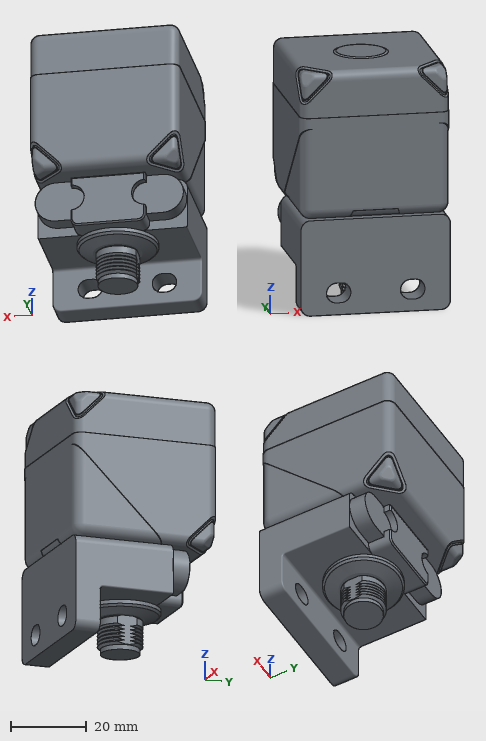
import cadquery as cq
import math

OVERALL_HEIGHT = 66.35
WIDTH = 40.15
HALF = WIDTH / 2

HOUSING_BOTTOM = 26.0
PARTING_HEIGHT = 53.9
DISC_HEIGHT = 0.25
HOUSING_TOP = OVERALL_HEIGHT - DISC_HEIGHT
EDGE_RADIUS = 2.5
CAP_STEP = 0.1
WEDGE_INSET = 0.165
WEDGE_EDGE_RADIUS = 2.8
DIAGONAL_FRONT_HEIGHT = 50.95
DISC_RADIUS = 7.25
DISC_FACE_RADIUS = 6.6

WINDOW_REACH = 10.1
WINDOW_BORDER = 0.7
FACET_REACH = 5.45
FACET_EDGE_RADIUS = 1.0
WINDOW_INSET = 0.4
BORDER_INSET = 0.5
WINDOW_EDGE_RADIUS = 1.65

NOTCH_WIDTH = 13.55
NOTCH_HEIGHT = 2.1
NOTCH_SIDE_SLOPE = 0.7
NOTCH_DEPTH = 0.1

PLATE_THICKNESS = 7.05
PLATE_CORNER_RADIUS = 2.5
ARM_BOTTOM = 12.1
ARM_LENGTH = 27.5
INNER_CORNER_RADIUS = 0.8
REAR_EDGE_RADIUS = 0.4
SLOT_SPACING = 19.9
SLOT_HEIGHT_ABOVE_BASE = 6.0
SLOT_LENGTH = 6.5
SLOT_DIAMETER = 5.4

CLAMP_REAR = 14.15
CLAMP_WIDTH = 19.9
CLAMP_EDGE_RADIUS = 1.85
CLAMP_REAR_CHAMFER = 0.4
SCOOP_RADIUS = 3.6
BAR_REAR = 12.15
BAR_WIDTH = 39.8
BAR_DIAMETER = 11.0
BAR_HEIGHT_ABOVE_BASE = 20.2

FLANGE_RADIUS = 10.8
FLANGE_RIM_BOTTOM = 11.0
FLANGE_BEVEL_RADIUS = 10.3
FLANGE_BEVEL_BOTTOM = 10.35
FLANGE_CONE_RADIUS = 6.6
NECK_RADIUS = 6.05
NECK_TOP = 9.3
NECK_CHAMFER = 0.4
THREAD_TOP = 7.0
THREAD_BOTTOM = 1.3
THREAD_PITCH = 1.0
THREAD_ROOT_RADIUS = 5.45
TIP_RADIUS = 5.25
KEY_FLAT_DISTANCE = 5.4


def rounded_box(half_x, half_y, bottom, top, radius):
    """Box centred on the Z axis with every edge rounded."""
    box = cq.Workplane("XY").box(2 * half_x, 2 * half_y, top - bottom, centered=(True, True, False))
    return box.edges().fillet(radius).translate((0, 0, bottom))


def corner_wedge(corner, signs, reach):
    """Tetrahedron at a box corner; signs point from the part's middle to the corner."""
    x, y, z = corner
    sx, sy, sz = signs
    margin = 0.65
    apex = cq.Vector(x + sx * margin, y + sy * margin, z + sz * margin)
    leg = reach + 3 * margin
    ends = [
        apex + cq.Vector(-sx * leg, 0, 0),
        apex + cq.Vector(0, -sy * leg, 0),
        apex + cq.Vector(0, 0, -sz * leg),
    ]
    points = [apex] + ends
    faces = []
    for skipped in range(len(points)):
        triangle = [p for index, p in enumerate(points) if index != skipped]
        faces.append(cq.Face.makeFromWires(cq.Wire.makePolygon(triangle, close=True)))
    solid = cq.Solid.makeSolid(cq.Shell.makeShell(faces))
    return cq.Workplane("XY").newObject([solid.fix()])


def make_cube():
    """Cap and lower housing, stacked at the parting joint."""
    lower = rounded_box(HALF, HALF, HOUSING_BOTTOM, HOUSING_TOP, EDGE_RADIUS)
    cap = rounded_box(HALF - CAP_STEP, HALF - CAP_STEP, HOUSING_BOTTOM, HOUSING_TOP, EDGE_RADIUS)
    above_joint = (
        cq.Workplane("XY")
        .workplane(offset=PARTING_HEIGHT)
        .rect(WIDTH, WIDTH)
        .extrude(HOUSING_TOP - PARTING_HEIGHT)
    )
    return lower.cut(above_joint).union(cap.intersect(above_joint))


def set_back_wedge(cube):
    """Narrow the cube below the 45 degree diagonal that rises toward the front."""
    rise = DIAGONAL_FRONT_HEIGHT - HOUSING_BOTTOM
    below_diagonal = (
        cq.Workplane("YZ")
        .polyline([(-HALF, HOUSING_BOTTOM), (rise - HALF, HOUSING_BOTTOM), (-HALF, DIAGONAL_FRONT_HEIGHT)])
        .close()
        .extrude(HALF, both=True)
    )
    narrow = rounded_box(HALF - WEDGE_INSET, HALF, HOUSING_BOTTOM, HOUSING_TOP, WEDGE_EDGE_RADIUS)
    return cube.cut(below_diagonal).union(narrow.intersect(below_diagonal))


def inset_core(inset, radius):
    """Rounded box lying an even distance inside the cap and the housing ends."""
    half_side = HALF - CAP_STEP - inset
    return rounded_box(half_side, half_side, HOUSING_BOTTOM + inset, HOUSING_TOP - inset, radius)


def recess_windows(cube):
    """Faceted, grooved windows in the two top front and two bottom rear corners."""
    border_core = inset_core(BORDER_INSET, WINDOW_EDGE_RADIUS)
    window_core = inset_core(WINDOW_INSET, WINDOW_EDGE_RADIUS)
    for side in (-1, 1):
        for sy, sz, z in ((-1, 1, HOUSING_TOP), (1, -1, HOUSING_BOTTOM)):
            corner = (side * HALF, sy * HALF, z)
            signs = (side, sy, sz)
            recess = corner_wedge(corner, signs, WINDOW_REACH)
            window = corner_wedge(corner, signs, WINDOW_REACH - WINDOW_BORDER)
            facet = corner_wedge(corner, signs, FACET_REACH)
            border = border_core.intersect(recess).cut(window)
            faceted = window_core.cut(facet)
            facet_face = cq.selectors.NearestToPointSelector(corner)
            faceted = faceted.faces(facet_face).edges().fillet(FACET_EDGE_RADIUS)
            cube = cube.cut(recess).union(border).union(faceted.intersect(window))
    return cube


def recess_front_notch(cube):
    """Shallow trapezoid set into the rounded lower front edge."""
    notch = (
        cq.Workplane("XZ", origin=(0, -HALF + EDGE_RADIUS, HOUSING_BOTTOM))
        .polyline([
            (-NOTCH_WIDTH / 2, 0),
            (NOTCH_WIDTH / 2, 0),
            (NOTCH_WIDTH / 2 - NOTCH_SIDE_SLOPE, NOTCH_HEIGHT),
            (-NOTCH_WIDTH / 2 + NOTCH_SIDE_SLOPE, NOTCH_HEIGHT),
        ])
        .close()
        .extrude(EDGE_RADIUS)
    )
    core = rounded_box(
        HALF - NOTCH_DEPTH,
        HALF - NOTCH_DEPTH,
        HOUSING_BOTTOM + NOTCH_DEPTH,
        HOUSING_TOP - NOTCH_DEPTH,
        EDGE_RADIUS,
    )
    return cube.cut(notch).union(core.intersect(notch))


def make_disc():
    """Raised sensing disc with a bevelled rim."""
    return (
        cq.Workplane("XZ")
        .polyline([
            (0, PARTING_HEIGHT),
            (DISC_RADIUS, PARTING_HEIGHT),
            (DISC_RADIUS, HOUSING_TOP),
            (DISC_FACE_RADIUS, OVERALL_HEIGHT),
            (0, OVERALL_HEIGHT),
        ])
        .close()
        .revolve(360, (0, 0), (0, 1))
    )


def make_bracket():
    """L-shaped bracket: slotted front plate with an arm under the housing."""
    front = -HALF
    plate_rear = front + PLATE_THICKNESS
    arm_rear = front + ARM_LENGTH
    profile = (
        cq.Workplane("YZ")
        .polyline([
            (front, 0),
            (plate_rear, 0),
            (plate_rear, ARM_BOTTOM),
            (arm_rear, ARM_BOTTOM),
            (arm_rear, HOUSING_BOTTOM),
            (front, HOUSING_BOTTOM),
        ])
        .close()
        .extrude(HALF, both=True)
    )
    inner_corner = cq.selectors.NearestToPointSelector((0, plate_rear, ARM_BOTTOM))
    profile = profile.edges(inner_corner).fillet(INNER_CORNER_RADIUS)
    outline = (
        cq.Workplane("XZ", origin=(0, front, 0))
        .center(0, HOUSING_BOTTOM / 2)
        .rect(WIDTH, HOUSING_BOTTOM)
        .extrude(-ARM_LENGTH)
        .edges("|Y")
        .fillet(PLATE_CORNER_RADIUS)
    )
    slots = (
        cq.Workplane("XZ", origin=(0, front, SLOT_HEIGHT_ABOVE_BASE))
        .pushPoints([(-SLOT_SPACING / 2, 0), (SLOT_SPACING / 2, 0)])
        .slot2D(SLOT_LENGTH, SLOT_DIAMETER)
        .extrude(-PLATE_THICKNESS)
    )
    bracket = profile.intersect(outline)
    rear_edge = cq.selectors.NearestToPointSelector((HALF, plate_rear, ARM_BOTTOM / 2))
    bracket = bracket.edges(rear_edge).fillet(REAR_EDGE_RADIUS)
    return bracket.cut(slots)


def make_rear_clamp():
    """Clamp block behind the arm, with scooped sides and a round-ended crossbar."""
    arm_rear = ARM_LENGTH - HALF
    block_height = HOUSING_BOTTOM - ARM_BOTTOM
    block = (
        cq.Workplane("XZ", origin=(0, arm_rear, ARM_BOTTOM + block_height / 2))
        .rect(CLAMP_WIDTH, block_height)
        .extrude(arm_rear - CLAMP_REAR)
        .edges("|Y and <Z")
        .fillet(CLAMP_EDGE_RADIUS)
        .faces(">Y")
        .chamfer(CLAMP_REAR_CHAMFER)
    )
    scoops = (
        cq.Workplane("XZ", origin=(0, BAR_REAR, BAR_HEIGHT_ABOVE_BASE))
        .pushPoints([(-CLAMP_WIDTH / 2, 0), (CLAMP_WIDTH / 2, 0)])
        .circle(SCOOP_RADIUS)
        .extrude(BAR_REAR - CLAMP_REAR)
    )
    bar = (
        cq.Workplane("XZ", origin=(0, arm_rear, BAR_HEIGHT_ABOVE_BASE))
        .slot2D(BAR_WIDTH, BAR_DIAMETER)
        .extrude(arm_rear - BAR_REAR)
    )
    return block.cut(scoops).union(bar)


def make_connector():
    """Flanged, threaded plug hanging below the arm, with a flat on each side."""
    profile = [
        (0, ARM_BOTTOM),
        (FLANGE_RADIUS, ARM_BOTTOM),
        (FLANGE_RADIUS, FLANGE_RIM_BOTTOM),
        (FLANGE_BEVEL_RADIUS, FLANGE_BEVEL_BOTTOM),
        (FLANGE_CONE_RADIUS, NECK_TOP),
        (NECK_RADIUS - NECK_CHAMFER, NECK_TOP),
        (NECK_RADIUS, NECK_TOP - NECK_CHAMFER),
        (NECK_RADIUS, THREAD_TOP),
    ]
    turns = math.floor((THREAD_TOP - THREAD_BOTTOM) / THREAD_PITCH)
    for turn in range(turns):
        start = THREAD_TOP - turn * THREAD_PITCH
        profile.append((THREAD_ROOT_RADIUS, start - THREAD_PITCH / 2))
        profile.append((NECK_RADIUS, start - THREAD_PITCH))
    profile += [(TIP_RADIUS, THREAD_BOTTOM), (TIP_RADIUS, 0), (0, 0)]
    connector = cq.Workplane("XZ").polyline(profile).close().revolve(360, (0, 0), (0, 1))
    for side in (-1, 1):
        flat = cq.Workplane("XY").box(NECK_RADIUS, 2 * NECK_RADIUS, NECK_TOP, centered=(True, True, False))
        connector = connector.cut(flat.translate((side * (KEY_FLAT_DISTANCE + NECK_RADIUS / 2), 0, 0)))
    return connector


housing = recess_front_notch(recess_windows(set_back_wedge(make_cube()))).union(make_disc())
result = housing.union(make_bracket()).union(make_rear_clamp()).union(make_connector())